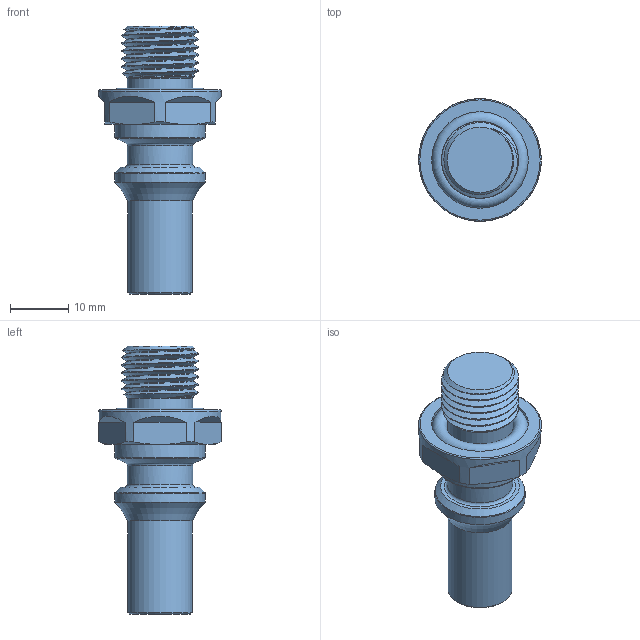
import cadquery as cq
import math

SHANK_RADIUS = 5.5
SHANK_EDGE_CHAMFER = 0.2

NECK_RADIUS = 5.6
COLLAR_RADIUS = 7.73
FLANGE_BOTTOM = 15.95
FLANGE_LAND_BOTTOM = 19.15
FLANGE_LAND_TOP = 20.75
FLANGE_TOP = 21.73
FLANGE_TOP_RADIUS = COLLAR_RADIUS - (FLANGE_TOP - FLANGE_LAND_TOP)
FLANGE_TAPER_SAG = 0.2
NECK_FILLET = 0.5

COLLAR_TAPER_BOTTOM = 25.75
COLLAR_TAPER_TOP = 26.7
EDGE_FILLET = 0.2

HEX_BOTTOM = 29.04
HEX_TOP = 34.95
HEX_RADIUS = 10.5
ACROSS_FLATS = 19.0
FLAT_TOP = 32.87
FLAT_CUT_CLEARANCE = 0.2
HEX_SIDES = 6
HEX_BOTTOM_CHAMFER_ANGLE = 23.0
HEX_TOP_FILLET = 0.2

SEAL_OUTER_RADIUS = 8.27
SEAL_SECTION_RADIUS = 1.3
SEAL_TOP = 35.25
SEAL_CENTRE_RADIUS = SEAL_OUTER_RADIUS - SEAL_SECTION_RADIUS
SEAL_CENTRE_HEIGHT = SEAL_TOP - SEAL_SECTION_RADIUS

THREAD_RADIUS = 6.58
THREAD_ROOT_RADIUS = 5.72
THREAD_PITCH = 1.337
THREAD_BOTTOM = 36.95
PART_TOP = 45.9
CREST_WIDTH = 0.12
ROOT_WIDTH = 0.2
CREST_HEIGHT_AT_MINUS_X = 42.94
RIDGE_OVERLAP = 0.05
ENVELOPE_CLEARANCE = 0.2
CORE_EXCESS_TURNS = 4


def turned(profile):
    """Revolve an (r, z) profile about the Z axis."""
    return profile.close().revolve(360, (0, 0, 0), (0, 1, 0))


def make_shank():
    blank = cq.Workplane("XY").circle(SHANK_RADIUS).extrude(FLANGE_BOTTOM)
    return blank.faces("<Z").chamfer(SHANK_EDGE_CHAMFER)


def make_flange_and_collar():
    """Flange with a hollow-curved lower taper, then the neck and the collar."""
    taper_run = COLLAR_RADIUS - NECK_RADIUS
    taper_rise = FLANGE_LAND_BOTTOM - FLANGE_BOTTOM
    taper_length = math.hypot(taper_run, taper_rise)
    taper_middle = (
        NECK_RADIUS + taper_run / 2 - FLANGE_TAPER_SAG * taper_rise / taper_length,
        FLANGE_BOTTOM + taper_rise / 2 + FLANGE_TAPER_SAG * taper_run / taper_length,
    )
    body = turned(
        cq.Workplane("XZ")
        .moveTo(0, FLANGE_BOTTOM)
        .lineTo(NECK_RADIUS, FLANGE_BOTTOM)
        .threePointArc(taper_middle, (COLLAR_RADIUS, FLANGE_LAND_BOTTOM))
        .lineTo(COLLAR_RADIUS, FLANGE_LAND_TOP)
        .lineTo(FLANGE_TOP_RADIUS, FLANGE_TOP)
        .lineTo(NECK_RADIUS, FLANGE_TOP)
        .lineTo(NECK_RADIUS, COLLAR_TAPER_BOTTOM)
        .lineTo(COLLAR_RADIUS, COLLAR_TAPER_TOP)
        .lineTo(COLLAR_RADIUS, HEX_BOTTOM)
        .lineTo(0, HEX_BOTTOM)
    )
    body = body.edges(circle_at(NECK_RADIUS, FLANGE_TOP)).fillet(NECK_FILLET)
    body = body.edges(circle_at(NECK_RADIUS, COLLAR_TAPER_BOTTOM)).fillet(NECK_FILLET)
    body = body.edges(circle_at(COLLAR_RADIUS, FLANGE_LAND_TOP)).fillet(EDGE_FILLET)
    return body.edges(circle_at(COLLAR_RADIUS, COLLAR_TAPER_TOP)).fillet(EDGE_FILLET)


def circle_at(radius, height):
    """Selector for the circular edge of the given radius at the given height."""
    margin = 0.01
    reach = radius + margin
    return cq.selectors.BoxSelector(
        (-reach, -reach, height - margin), (reach, reach, height + margin), boundingbox=True
    )


def make_hexagon():
    """Round blank with six wrench flats that run out upward at 45 degrees."""
    flat_distance = ACROSS_FLATS / 2
    chamfer_run = HEX_RADIUS - flat_distance
    chamfer_rise = chamfer_run * math.tan(math.radians(HEX_BOTTOM_CHAMFER_ANGLE))
    blank = turned(
        cq.Workplane("XZ")
        .moveTo(0, HEX_BOTTOM)
        .lineTo(flat_distance, HEX_BOTTOM)
        .lineTo(HEX_RADIUS, HEX_BOTTOM + chamfer_rise)
        .lineTo(HEX_RADIUS, HEX_TOP)
        .lineTo(0, HEX_TOP)
    )
    blank = blank.faces(">Z").edges().fillet(HEX_TOP_FILLET)
    cut_depth = 2 * chamfer_run
    flat_cutter = (
        cq.Workplane("XZ")
        .moveTo(flat_distance, HEX_BOTTOM - FLAT_CUT_CLEARANCE)
        .lineTo(flat_distance, FLAT_TOP)
        .lineTo(flat_distance + cut_depth, FLAT_TOP + cut_depth)
        .lineTo(flat_distance + cut_depth, HEX_BOTTOM - FLAT_CUT_CLEARANCE)
        .close()
        .extrude(HEX_RADIUS, both=True)
    )
    for side in range(HEX_SIDES):
        blank = blank.cut(flat_cutter.rotate((0, 0, 0), (0, 0, 1), side * 360 / HEX_SIDES))
    return blank


def make_seal_groove():
    """Annular pocket that holds the lower half of the sealing ring."""
    return (
        cq.Workplane("XY", origin=(0, 0, SEAL_CENTRE_HEIGHT))
        .circle(SEAL_OUTER_RADIUS)
        .circle(NECK_RADIUS)
        .extrude(HEX_TOP - SEAL_CENTRE_HEIGHT)
    )


def make_seal():
    ring = cq.Solid.makeTorus(SEAL_CENTRE_RADIUS, SEAL_SECTION_RADIUS)
    return cq.Workplane(ring.translate(cq.Vector(0, 0, SEAL_CENTRE_HEIGHT)))


def make_thread_ridge():
    """Helical thread ridge, running past both ends of the thread."""
    turns_below = math.ceil((CREST_HEIGHT_AT_MINUS_X - THREAD_BOTTOM) / THREAD_PITCH) + 1
    turns_above = math.ceil((PART_TOP - CREST_HEIGHT_AT_MINUS_X) / THREAD_PITCH) + 1
    length = (turns_below + turns_above) * THREAD_PITCH
    start_height = CREST_HEIGHT_AT_MINUS_X - (turns_below + 0.5) * THREAD_PITCH

    root_half_width = (THREAD_PITCH - ROOT_WIDTH) / 2
    crest_half_width = CREST_WIDTH / 2
    flank_slope = (root_half_width - crest_half_width) / (THREAD_RADIUS - THREAD_ROOT_RADIUS)
    base_radius = THREAD_ROOT_RADIUS - RIDGE_OVERLAP
    base_half_width = root_half_width + flank_slope * RIDGE_OVERLAP
    section = [
        (base_radius, -base_half_width),
        (THREAD_RADIUS, -crest_half_width),
        (THREAD_RADIUS, crest_half_width),
        (base_radius, base_half_width),
    ]

    faces = []
    for height in (0, length):
        corners = [cq.Vector(radius, 0, z + height) for radius, z in section]
        faces.append(cq.Face.makeFromWires(cq.Wire.makePolygon(corners, close=True)))
    helices = [
        cq.Wire.makeHelix(THREAD_PITCH, length, radius).translate(cq.Vector(0, 0, z))
        for radius, z in section
    ]
    for helix, next_helix in zip(helices, helices[1:] + helices[:1]):
        faces.append(cq.Face.makeRuledSurface(helix, next_helix))
    ridge = cq.Solid.makeSolid(cq.Shell.makeShell(faces))
    return cq.Workplane(ridge.translate(cq.Vector(0, 0, start_height)))


def make_threaded_end():
    """Thread on a root cylinder, trimmed to length and chamfered at both ends."""
    envelope_radius = THREAD_RADIUS + ENVELOPE_CLEARANCE
    chamfer = envelope_radius - NECK_RADIUS
    envelope = turned(
        cq.Workplane("XZ")
        .moveTo(0, THREAD_BOTTOM)
        .lineTo(NECK_RADIUS, THREAD_BOTTOM)
        .lineTo(envelope_radius, THREAD_BOTTOM + chamfer)
        .lineTo(envelope_radius, PART_TOP - chamfer)
        .lineTo(NECK_RADIUS, PART_TOP)
        .lineTo(0, PART_TOP)
    )
    core_excess = CORE_EXCESS_TURNS * THREAD_PITCH
    core = (
        cq.Workplane("XY", origin=(0, 0, THREAD_BOTTOM - core_excess))
        .circle(THREAD_ROOT_RADIUS)
        .extrude(PART_TOP - THREAD_BOTTOM + 2 * core_excess)
    )
    return core.union(make_thread_ridge()).intersect(envelope)


def make_upper_neck():
    neck = cq.Workplane("XY", origin=(0, 0, HEX_TOP)).circle(NECK_RADIUS)
    return neck.extrude(THREAD_BOTTOM - HEX_TOP)


hexagon = make_hexagon().cut(make_seal_groove()).union(make_seal())
result = make_shank().union(make_flange_and_collar()).union(hexagon)
result = result.union(make_upper_neck()).union(make_threaded_end())